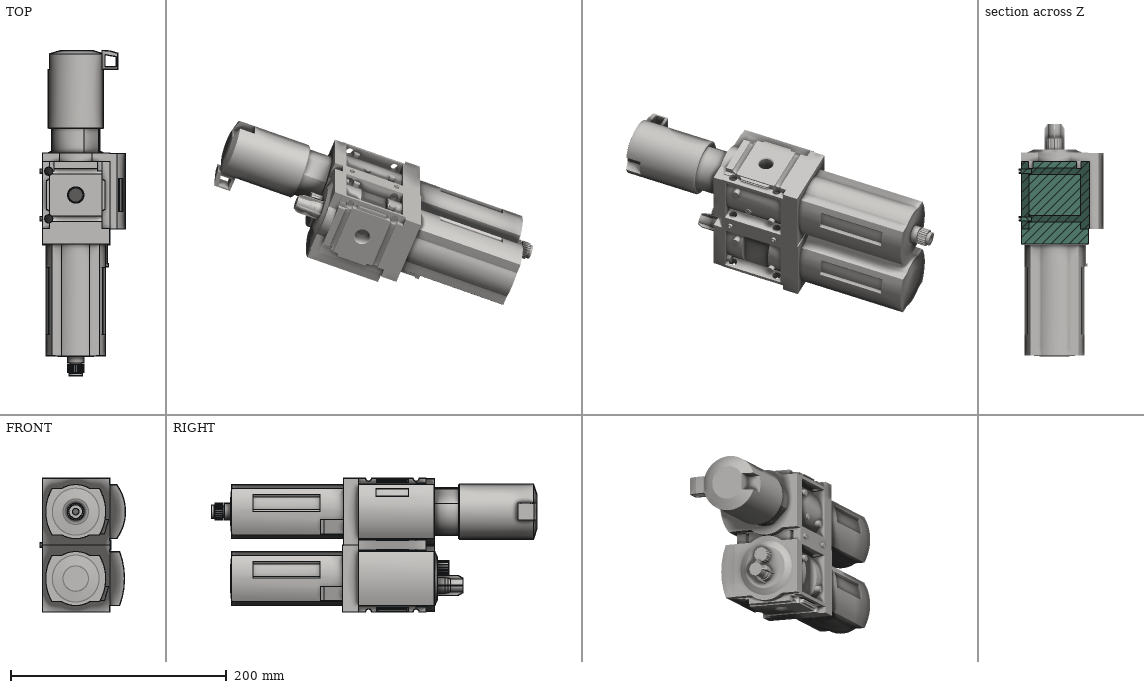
import cadquery as cq
import math


TOTAL_LENGTH = 302.0
STACK_HEIGHT = 124.0
HALF = STACK_HEIGHT / 4
HOUSING_RIGHT = 31.7
PLATFORM_DROP = 5.5
CORE_Z = HALF - PLATFORM_DROP
HOUSING_BACK = 38.5
REGULATOR_FRONT = -46.0
LUBRICATOR_FRONT = -46.8
PLATFORM_BACK = 30.8
PLATFORM_FRONT = -31.7
PLATFORM_Y = (PLATFORM_BACK + PLATFORM_FRONT) / 2
PLATFORM_HALF_X = 24.0
NOTCH_WIDTH = 4.0
NOTCH_FLOOR_RISE = 1.0
BACK_STEP = 0.5
HUMP_HALF_X = 15.0
HUMP_CREST = 30.5
PORT_DIAMETER = 13.3
PORT_DEPTH = 18.0
PORT_CHAMFER = 1.0
TONGUE_REACH = 3.0
TONGUE_HALF_Y = 14.8
TONGUE_TOP = 30.0
TONGUE_BOTTOM = 27.0
TONGUE_GROOVE = 1.0

KNURL_DEPTH = 1.2
KNURL_OPENING = 0.4
KNURL_OVERCUT = 0.3

SCREW_SPACING = 44.0
CHANNEL_DIAMETER = 5.5
NUT_POCKET_DIAMETER = 7.5
NUT_POCKET_X = -25.0
BACK_BAR_STEP = 1.0
BACK_BAR_HALF_Z = 4.5
SCREW_HEAD_DIAMETER = 4.5
SCREW_SOCKET_DIAMETER = 2.0
SCREW_SOCKET_DEPTH = 1.5
SCREW_HEAD_HEIGHT = 2.0
SCREW_SHANK_DIAMETER = 3.3
SCREW_SHANK_LENGTH = 9.0

WINDOW_BACK = 27.2
WINDOW_FRONT = -29.0
WINDOW_HALF_Z = 22.5
WINDOW_FLOOR_HALF_Z = 20.8
WINDOW_FLOOR_X = -15.0
BARREL_RADIUS = 28.7
BOSS_DIAMETER = 6.0
BOSS_ROOT_X = -21.0
LONG_BOSSES = [(16.5, 11.2), (-18.7, -11.2)]
SHORT_BOSS = (4.8, -8.8)
SHORT_BOSS_TIP_X = -28.7
LABEL_BACK = 11.2
LABEL_FRONT = -15.5
LABEL_HALF_Z = 18.7
LUG_DIAMETER = 7.5
LUG_LENGTH = 4.0
LUG_X = -24.0
LUG_Z = 18.5

COVER_BACK = 38.0
COVER_FRONT = -32.0
COVER_HALF_Z = CORE_Z - BACK_STEP
REGULATOR_COVER_EDGE = 38.0
REGULATOR_COVER_CREST = 46.2
LUBRICATOR_COVER_EDGE = 40.8
LUBRICATOR_COVER_CREST = 45.3
LABEL_SLOT_LENGTH = 30.2
LABEL_SLOT_WIDTH = 7.5
LABEL_SLOT_DEPTH = 1.0
LABEL_SLOT_ANGLE = 25.0

BOWL_END = -149.5
BOWL_RADIUS = 25.0
BOWL_CORNER_X = 22.0
BOWL_CORNER_Z = 21.5
BOWL_HALF_X = 27.8
BOWL_CONE_HEIGHT = 1.0
BOWL_CONE_RADIUS = 21.7
BOWL_TIP_RADIUS = 11.8
SLOT_BACK = -67.5
SLOT_FRONT = -129.8
SLOT_BOTTOM_Z = 0.3
SLOT_TOP_Z = 16.0
SLOT_SPLAY_BOTTOM = 1.5
SLOT_SPLAY_TOP = 2.5
SLOT_DEPTH = 2.5
LATCH_END = -67.0
LATCH_INNER_X = 22.0
LATCH_BOTTOM_Z = -20.5
LATCH_TOP_Z = -7.2
LATCH_SLIDE = (25.5, 29.3)
LATCH_LIP = (26.5, 30.5)
LATCH_LIP_LENGTH = 3.0

DRAIN_RADIUS = 7.8
DRAIN_NECK_RADIUS = 5.5
DRAIN_TIP_RADIUS = 6.3
DRAIN_COLLAR_END = -156.0
DRAIN_NUT_BACK = -157.5
DRAIN_NUT_FRONT = -164.8
DRAIN_TIP_BACK = -165.7
DRAIN_END = -168.0
DRAIN_BORE_DIAMETER = 6.0
DRAIN_BORE_DEPTH = 6.0
DRAIN_TEETH = 24

KNOB_RADIUS = 25.7
KNOB_FRONT = 61.0
KNOB_SHOULDER = 130.5
KNOB_END = DRAIN_END + TOTAL_LENGTH
KNOB_END_RADIUS = 15.5
KNOB_CHAMFER = 1.0
NECK_RADIUS = 22.3
NECK_FLAT_DISTANCE = 20.2
NECK_FLAT_ANGLE = 45
KEYWAY_HALF_Z = 7.8
KEYWAY_FRONT = 116.0
KEYWAY_FLOOR_X = -13.5
SLIDE_ROOT_X = 24.0
SLIDE_TIP_X = 39.0
SLIDE_TIP_BACK = 131.0
SLIDE_BEND_X = 31.7
SLIDE_BEND_BACK = 133.0
SLIDE_WINDOW_INNER_X = 27.2
SLIDE_WINDOW_OUTER_X = 37.5
SLIDE_WINDOW_FRONT = 118.5
SLIDE_WINDOW_INNER_BACK = 129.5
SLIDE_WINDOW_OUTER_BACK = 127.7

DOME_RADIUS = 25.7
DOME_EDGE_RADIUS = 19.5
DOME_HEIGHT = 2.7
SCREW_CAP_Z = 10.3
SCREW_CAP_RADIUS = 6.5
SCREW_CAP_END = 52.0
SCREW_CAP_TEETH = 16
PLUG_Z = -6.3
PLUG_END = 65.2
PLUG_RADIUS = 6.0
PLUG_BASE_RADIUS = 7.5
PLUG_BASE_END = 48.3
PLUG_STEP_RADIUS = 7.0
PLUG_STEP_END = 51.0
PLUG_CONE_END = 53.5
FIN_HALF_WIDTH = 9.5
FIN_THICKNESS = 1.2
FIN_CHAMFER_LENGTH = 4.8
FIN_CHAMFER_WIDTH = 2.7

SCREW_POSITIONS = (PLATFORM_Y - SCREW_SPACING / 2, PLATFORM_Y + SCREW_SPACING / 2)


def block(x_range, y_range, z_range):
    """Box between two limits along each axis."""
    sizes = [high - low for low, high in (x_range, y_range, z_range)]
    return cq.Workplane("XY").box(*sizes, centered=False).translate((x_range[0], y_range[0], z_range[0]))


def section(y_start):
    """Sketch plane across a unit, from which positive lengths run towards +Y."""
    return cq.Workplane(cq.Plane(origin=(0, y_start, 0), xDir=(-1, 0, 0), normal=(0, 1, 0)))


def shaft(radius, y_start, y_end, x=0, z=0):
    """Cylinder parallel to Y."""
    return section(y_start).center(-x, z).circle(radius).extrude(y_end - y_start)


def turned(profile):
    """Solid of revolution about Y from (radius, y) points."""
    return cq.Workplane("XY").polyline(profile).close().revolve(360, (0, 0, 0), (0, 1, 0))


def across(outline, y_start, y_end):
    """Closed (x, z) outline extruded along Y."""
    return cq.Workplane("XZ", origin=(0, y_start, 0)).polyline(outline).close().extrude(y_start - y_end)


def cross_shaft(diameter, x_start, x_end, y, z):
    """Cylinder parallel to X."""
    return cq.Workplane("YZ", origin=(x_start, y, z)).circle(diameter / 2).extrude(x_end - x_start)


def knurl_cutters(radius, y_start, y_end, teeth, z=0):
    """V-shaped grooves around a cylinder parallel to Y."""
    half_groove = math.pi * radius / teeth * KNURL_OPENING
    rim = radius + KNURL_OVERCUT
    groove = across([(-half_groove, rim), (half_groove, rim), (0, radius - KNURL_DEPTH)], y_start, y_end)
    cutters = [groove.rotate((0, 0, 0), (0, 1, 0), 360 * i / teeth).val() for i in range(teeth)]
    return cq.Workplane(cq.Compound.makeCompound(cutters)).translate((0, 0, z))


def arc_radius(half_chord, rise):
    """Radius of an arc from half its chord and its rise."""
    return (half_chord**2 + rise**2) / (2 * rise)



def platform_tongue():
    """Grooved tongue on the -X edge of the top platform, tapered towards both ends."""
    tip_x = -PLATFORM_HALF_X - TONGUE_REACH
    tip_half_y = TONGUE_HALF_Y - TONGUE_REACH / 2
    plan = [
        (-PLATFORM_HALF_X, -TONGUE_HALF_Y), (tip_x, -tip_half_y),
        (tip_x, tip_half_y), (-PLATFORM_HALF_X, TONGUE_HALF_Y),
    ]
    tongue = cq.Workplane("XY", origin=(0, 0, TONGUE_BOTTOM)).polyline(plan).close()
    tongue = tongue.extrude(TONGUE_TOP - TONGUE_BOTTOM)
    groove_bottom = (TONGUE_BOTTOM + TONGUE_TOP - TONGUE_GROOVE) / 2
    groove = block(
        (tip_x, tip_x + TONGUE_GROOVE), (-TONGUE_HALF_Y, TONGUE_HALF_Y),
        (groove_bottom, groove_bottom + TONGUE_GROOVE),
    )
    return tongue.cut(groove).translate((0, PLATFORM_Y, 0))


def top_platform():
    """Raised joining face with two half-round channels, notches at the back and tongues."""
    platform = block(
        (-PLATFORM_HALF_X, PLATFORM_HALF_X), (PLATFORM_FRONT, PLATFORM_BACK), (CORE_Z, HALF)
    )
    tongue = platform_tongue()
    platform = platform.union(tongue).union(tongue.mirror("YZ"))
    for y in SCREW_POSITIONS:
        platform = platform.cut(cross_shaft(CHANNEL_DIAMETER, -HALF, HALF, y, HALF))
    for left in (-PLATFORM_HALF_X, PLATFORM_HALF_X - NOTCH_WIDTH):
        notch = block(
            (left, left + NOTCH_WIDTH), (SCREW_POSITIONS[1], PLATFORM_BACK), (CORE_Z + NOTCH_FLOOR_RISE, HALF)
        )
        platform = platform.cut(notch)
    return platform


def side_window():
    """Cutter for the -X window: tapered top and bottom, stopping at the inner barrel."""
    opening = across(
        [
            (-HALF, -WINDOW_HALF_Z), (WINDOW_FLOOR_X, -WINDOW_FLOOR_HALF_Z),
            (WINDOW_FLOOR_X, WINDOW_FLOOR_HALF_Z), (-HALF, WINDOW_HALF_Z),
        ],
        WINDOW_FRONT, WINDOW_BACK,
    )
    return opening.cut(shaft(BARREL_RADIUS, WINDOW_FRONT, WINDOW_BACK))


def back_block():
    """Lower block behind the platforms, with a rounded hump on top and below."""
    shoulder = CORE_Z - BACK_STEP
    hump = (
        section(PLATFORM_BACK)
        .moveTo(-HUMP_HALF_X, shoulder)
        .threePointArc((0, HUMP_CREST), (HUMP_HALF_X, shoulder))
        .close()
        .extrude(HOUSING_BACK - PLATFORM_BACK)
    )
    body = block((-HALF, HOUSING_RIGHT), (PLATFORM_BACK, HOUSING_BACK), (-shoulder, shoulder))
    return body.union(hump).union(hump.mirror("XY"))


def boss(y, z, tip_x):
    """Round boss on the inner barrel, pointing out of the window."""
    return cross_shaft(BOSS_DIAMETER, tip_x, BOSS_ROOT_X, y, z)


def housing(front):
    core = block((-HALF, HOUSING_RIGHT), (front, PLATFORM_BACK), (-CORE_Z, CORE_Z))
    flange = block((-HALF, HOUSING_RIGHT), (front, PLATFORM_FRONT), (-HALF, HALF))
    platform = top_platform()
    body = core.union(flange).union(back_block()).union(platform).union(platform.mirror("XY"))
    body = body.cut(side_window())
    for y in SCREW_POSITIONS:
        pocket = cq.Workplane("XY", origin=(NUT_POCKET_X, y, WINDOW_FLOOR_HALF_Z))
        pocket = pocket.circle(NUT_POCKET_DIAMETER / 2).extrude(HALF - WINDOW_FLOOR_HALF_Z)
        body = body.cut(pocket).cut(pocket.mirror("XY"))
    for y, z in LONG_BOSSES:
        body = body.union(boss(y, z, -HALF))
    return body


def top_port():
    """Cutter for the chamfered port in the top platform."""
    top_radius = PORT_DIAMETER / 2 + PORT_CHAMFER
    bore = cq.Workplane("XY", origin=(0, PLATFORM_Y, HALF - PORT_DEPTH))
    bore = bore.circle(PORT_DIAMETER / 2).extrude(PORT_DEPTH)
    countersink = cq.Workplane("XY", origin=(0, PLATFORM_Y, HALF)).circle(top_radius)
    countersink = countersink.workplane(offset=-PORT_CHAMFER).circle(PORT_DIAMETER / 2).loft()
    return bore.union(countersink)


def side_cover(edge_x, crest_x):
    """Cover with a cylindrical outer face between two flat sides."""
    return (
        cq.Workplane("XZ", origin=(0, COVER_BACK, 0))
        .moveTo(HOUSING_RIGHT, -COVER_HALF_Z)
        .lineTo(edge_x, -COVER_HALF_Z)
        .threePointArc((crest_x, 0), (edge_x, COVER_HALF_Z))
        .lineTo(HOUSING_RIGHT, COVER_HALF_Z)
        .close()
        .extrude(COVER_BACK - COVER_FRONT)
    )


def label_slot():
    """Cutter for the shallow slot in the upper part of the regulator cover's curved face."""
    radius = arc_radius(COVER_HALF_Z, REGULATOR_COVER_CREST - REGULATOR_COVER_EDGE)
    slot = cq.Workplane("XY").box(2 * LABEL_SLOT_DEPTH, LABEL_SLOT_LENGTH, LABEL_SLOT_WIDTH)
    slot = slot.translate((radius, 0, 0)).rotate((0, 0, 0), (0, 1, 0), -LABEL_SLOT_ANGLE)
    return slot.translate((REGULATOR_COVER_CREST - radius, PLATFORM_Y, 0))



def bowl_side_x(z, depth):
    """X of the curved +X side of the bowl at height z, sunk by a depth."""
    radius = arc_radius(BOWL_CORNER_Z, BOWL_HALF_X - BOWL_CORNER_X)
    return BOWL_HALF_X - radius + math.sqrt((radius - depth) ** 2 - z**2)


def bowl_slot():
    """Cutter for the long sight slot on the +X side, with splayed sides and a curved floor."""
    floor_bottom = SLOT_BOTTOM_Z + SLOT_SPLAY_BOTTOM
    floor_top = SLOT_TOP_Z - SLOT_SPLAY_TOP
    floor_middle = (floor_bottom + floor_top) / 2
    return (
        section(SLOT_FRONT)
        .moveTo(-HALF, SLOT_BOTTOM_Z)
        .lineTo(-bowl_side_x(SLOT_BOTTOM_Z, 0), SLOT_BOTTOM_Z)
        .lineTo(-bowl_side_x(floor_bottom, SLOT_DEPTH), floor_bottom)
        .threePointArc(
            (-bowl_side_x(floor_middle, SLOT_DEPTH), floor_middle),
            (-bowl_side_x(floor_top, SLOT_DEPTH), floor_top),
        )
        .lineTo(-bowl_side_x(SLOT_TOP_Z, 0), SLOT_TOP_Z)
        .lineTo(-HALF, SLOT_TOP_Z)
        .close()
        .extrude(SLOT_BACK - SLOT_FRONT)
    )


def bowl_latch(front):
    """Sliding latch on the lower +X side of the bowl, with a lip at its end."""
    inner = [(LATCH_INNER_X, LATCH_TOP_Z), (LATCH_INNER_X, LATCH_BOTTOM_Z)]
    slide = across(
        [*inner, (LATCH_SLIDE[0], LATCH_BOTTOM_Z), (LATCH_SLIDE[1], LATCH_TOP_Z)], LATCH_END, front
    )
    lip = across(
        [*inner, (LATCH_LIP[0], LATCH_BOTTOM_Z), (LATCH_LIP[1], LATCH_TOP_Z)],
        LATCH_END, LATCH_END + LATCH_LIP_LENGTH,
    )
    return slide.union(lip)


def bowl(front):
    sides = (
        section(BOWL_END)
        .moveTo(-BOWL_CORNER_X, -BOWL_CORNER_Z)
        .lineTo(BOWL_CORNER_X, -BOWL_CORNER_Z)
        .threePointArc((BOWL_HALF_X, 0), (BOWL_CORNER_X, BOWL_CORNER_Z))
        .lineTo(-BOWL_CORNER_X, BOWL_CORNER_Z)
        .threePointArc((-BOWL_HALF_X, 0), (-BOWL_CORNER_X, -BOWL_CORNER_Z))
        .close()
        .extrude(front - BOWL_END)
    )
    tip = BOWL_END - BOWL_CONE_HEIGHT
    cone = turned([(0, BOWL_END), (BOWL_CONE_RADIUS, BOWL_END), (BOWL_TIP_RADIUS, tip), (0, tip)])
    slot = bowl_slot()
    shell = sides.union(shaft(BOWL_RADIUS, BOWL_END, front)).cut(slot).cut(slot.mirror("YZ"))
    return shell.union(cone).union(bowl_latch(front))


def drain():
    """Turned drain stub with a knurled nut and a bore."""
    stub = turned([
        (0, BOWL_END), (DRAIN_RADIUS, BOWL_END), (DRAIN_RADIUS, DRAIN_COLLAR_END),
        (DRAIN_NECK_RADIUS, DRAIN_COLLAR_END), (DRAIN_NECK_RADIUS, DRAIN_NUT_BACK),
        (DRAIN_RADIUS, DRAIN_NUT_BACK), (DRAIN_RADIUS, DRAIN_NUT_FRONT),
        (DRAIN_NECK_RADIUS, DRAIN_NUT_FRONT), (DRAIN_NECK_RADIUS, DRAIN_TIP_BACK),
        (DRAIN_TIP_RADIUS, DRAIN_TIP_BACK), (DRAIN_TIP_RADIUS, DRAIN_END), (0, DRAIN_END),
    ])
    stub = stub.cut(knurl_cutters(DRAIN_RADIUS, DRAIN_NUT_FRONT, DRAIN_NUT_BACK, DRAIN_TEETH))
    return stub.cut(shaft(DRAIN_BORE_DIAMETER / 2, DRAIN_END, DRAIN_END + DRAIN_BORE_DEPTH))



def neck():
    """Round neck with two opposite diagonal flats."""
    flats = block(
        (-NECK_RADIUS, NECK_RADIUS), (HOUSING_BACK, KNOB_FRONT), (-NECK_FLAT_DISTANCE, NECK_FLAT_DISTANCE)
    ).rotate((0, 0, 0), (0, 1, 0), NECK_FLAT_ANGLE)
    return shaft(NECK_RADIUS, HOUSING_BACK, KNOB_FRONT).intersect(flats)


def lock_slide():
    """Square loop at the +X end of the knob."""
    loop = [
        (SLIDE_ROOT_X, KEYWAY_FRONT), (SLIDE_TIP_X, KEYWAY_FRONT), (SLIDE_TIP_X, SLIDE_TIP_BACK),
        (SLIDE_BEND_X, SLIDE_BEND_BACK), (SLIDE_ROOT_X, KNOB_END),
    ]
    window = [
        (SLIDE_WINDOW_INNER_X, SLIDE_WINDOW_FRONT), (SLIDE_WINDOW_OUTER_X, SLIDE_WINDOW_FRONT),
        (SLIDE_WINDOW_OUTER_X, SLIDE_WINDOW_OUTER_BACK), (SLIDE_WINDOW_INNER_X, SLIDE_WINDOW_INNER_BACK),
    ]
    plate = cq.Workplane("XY", origin=(0, 0, -KEYWAY_HALF_Z))
    solid = plate.polyline(loop).close().extrude(2 * KEYWAY_HALF_Z)
    return solid.cut(plate.polyline(window).close().extrude(2 * KEYWAY_HALF_Z))


def knob():
    grip = turned([
        (0, KNOB_FRONT), (KNOB_RADIUS - KNOB_CHAMFER, KNOB_FRONT),
        (KNOB_RADIUS, KNOB_FRONT + KNOB_CHAMFER), (KNOB_RADIUS, KNOB_SHOULDER),
        (KNOB_END_RADIUS, KNOB_END), (0, KNOB_END),
    ])
    keyway = block(
        (-KNOB_RADIUS, KEYWAY_FLOOR_X), (KEYWAY_FRONT, KNOB_END), (-KEYWAY_HALF_Z, KEYWAY_HALF_Z)
    )
    return grip.cut(keyway).union(lock_slide())



def head_dome():
    top = HOUSING_BACK + DOME_HEIGHT
    return turned([(0, HOUSING_BACK), (DOME_RADIUS, HOUSING_BACK), (DOME_EDGE_RADIUS, top), (0, top)])


def adjusting_cap():
    """Knurled cap of the oil adjusting screw."""
    cap = shaft(SCREW_CAP_RADIUS, HOUSING_BACK, SCREW_CAP_END, z=SCREW_CAP_Z)
    root = HOUSING_BACK + DOME_HEIGHT
    return cap.cut(knurl_cutters(SCREW_CAP_RADIUS, root, SCREW_CAP_END, SCREW_CAP_TEETH, SCREW_CAP_Z))


def filler_plug():
    """Stepped plug with two crossing grip fins."""
    plug = turned([
        (0, HOUSING_BACK), (PLUG_BASE_RADIUS, HOUSING_BACK), (PLUG_BASE_RADIUS, PLUG_BASE_END),
        (PLUG_STEP_RADIUS, PLUG_BASE_END), (PLUG_STEP_RADIUS, PLUG_STEP_END),
        (PLUG_RADIUS, PLUG_CONE_END), (PLUG_RADIUS, PLUG_END), (0, PLUG_END),
    ])
    shoulder = PLUG_END - FIN_CHAMFER_LENGTH
    end_half = FIN_HALF_WIDTH - FIN_CHAMFER_WIDTH
    outline = [
        (-FIN_HALF_WIDTH, HOUSING_BACK), (FIN_HALF_WIDTH, HOUSING_BACK), (FIN_HALF_WIDTH, shoulder),
        (end_half, PLUG_END), (-end_half, PLUG_END), (-FIN_HALF_WIDTH, shoulder),
    ]
    fin = cq.Workplane("XY").polyline(outline).close().extrude(FIN_THICKNESS / 2, both=True)
    plug = plug.union(fin).union(fin.rotate((0, 0, 0), (0, 1, 0), 90))
    return plug.translate((0, 0, PLUG_Z))



def filter_regulator():
    cover = side_cover(REGULATOR_COVER_EDGE, REGULATOR_COVER_CREST).cut(label_slot())
    unit = housing(REGULATOR_FRONT).cut(top_port()).union(boss(*SHORT_BOSS, SHORT_BOSS_TIP_X))
    unit = unit.union(cover).union(bowl(REGULATOR_FRONT)).union(drain())
    return unit.union(neck()).union(knob()).translate((0, 0, HALF))


def lubricator():
    body = housing(LUBRICATOR_FRONT).cut(top_port().mirror("XY"))
    label_x = -math.sqrt(BARREL_RADIUS**2 - LABEL_HALF_Z**2)
    label_flat = block((-HALF, label_x), (LABEL_FRONT, LABEL_BACK), (-LABEL_HALF_Z, LABEL_HALF_Z))
    body = body.cut(label_flat)
    unit = body.union(side_cover(LUBRICATOR_COVER_EDGE, LUBRICATOR_COVER_CREST))
    for z in (-LUG_Z, LUG_Z):
        unit = unit.union(shaft(LUG_DIAMETER / 2, WINDOW_BACK - LUG_LENGTH, WINDOW_BACK, LUG_X, z))
    unit = unit.union(bowl(LUBRICATOR_FRONT))
    unit = unit.union(head_dome()).union(adjusting_cap()).union(filler_plug())
    return unit.translate((0, 0, -HALF))


def joining_clamp(units):
    """Two bars tied together by rods that lie in the channels between the units."""
    y_range = (PLATFORM_FRONT, PLATFORM_BACK)
    front_bar = block((-HALF, -PLATFORM_HALF_X), y_range, (-PLATFORM_DROP, PLATFORM_DROP))
    back_bar = block(
        (PLATFORM_HALF_X, HOUSING_RIGHT + BACK_BAR_STEP), y_range, (-BACK_BAR_HALF_Z, BACK_BAR_HALF_Z)
    )
    clamp = front_bar.union(back_bar)
    for y in SCREW_POSITIONS:
        clamp = clamp.union(cross_shaft(CHANNEL_DIAMETER, -PLATFORM_HALF_X, PLATFORM_HALF_X, y, 0))
    for unit in units:
        clamp = clamp.cut(unit)
    for y in SCREW_POSITIONS:
        clamp = clamp.cut(cross_shaft(SCREW_SHANK_DIAMETER, -HALF, -HALF + SCREW_SHANK_LENGTH, y, 0))
    return clamp


def clamp_screw(y):
    head_x = -HALF - SCREW_HEAD_HEIGHT
    head = cross_shaft(SCREW_HEAD_DIAMETER, head_x, -HALF, y, 0)
    head = head.cut(cross_shaft(SCREW_SOCKET_DIAMETER, head_x, head_x + SCREW_SOCKET_DEPTH, y, 0))
    return head.union(cross_shaft(SCREW_SHANK_DIAMETER, -HALF, -HALF + SCREW_SHANK_LENGTH, y, 0))


regulator = filter_regulator()
oiler = lubricator()
clamp = joining_clamp([regulator, oiler])
screws = [clamp_screw(y) for y in SCREW_POSITIONS]

result = cq.Compound.makeCompound(
    [regulator.val(), oiler.val(), clamp.val(), *[screw.val() for screw in screws]]
)